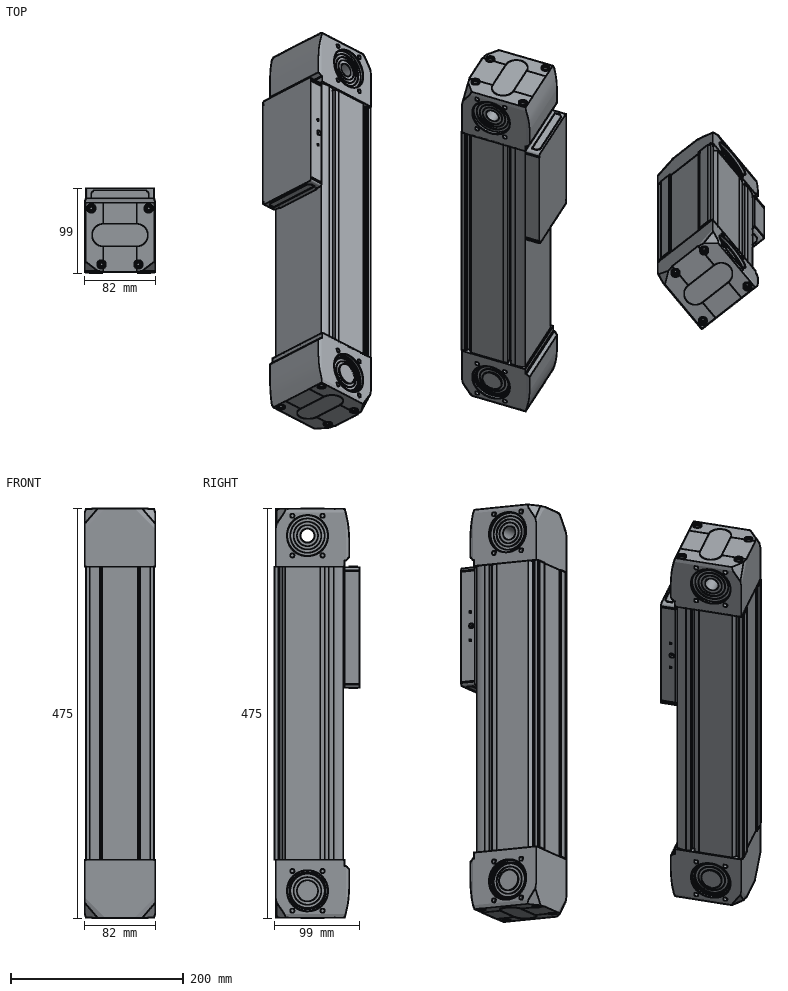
import cadquery as cq


profile_length = 340.0
profile_half_x = 39.5
profile_half_y = 40.0
back_round_radius = 30.0
back_round_start_y = 28.7

recess_half_width = 7.8
recess_center_y = 20.9
recess_depth = 0.4
slot_half_width = 2.1
slot_depth = 6.0

notch_back_y = -27.2
notch_back_floor_y = -31.0
notch_front_floor_y = -33.6
notch_lip_y = -35.2
notch_lip_x = profile_half_x - 1.5
notch_floor_x = profile_half_x - 4.0

lip_step_x = 34.9
lip_step = 0.5
front_groove_outer_x = 23.4
front_groove_inner_x = 22.0
lip_inner_x = 20.8
front_panel_recess = 1.6

head_half_x = 41.0
head_front_y = -38.4
head_back_y = 41.7
head_inner_z = profile_length / 2
head_end_z = 237.0
bevel_x = 1.4
bevel_z = 4.4
cover_edge_y = head_back_y + 1.4
cover_y = 47.0
cover_side_inset = 1.2
cover_slope_y = 45.3
cover_slope_z = 222.0
cover_flat_top_z = 201.0
cover_flat_bottom_z = 181.0
cover_foot_z = 177.0

corner_cut_legs = (17.0, 13.0, 19.0)
corner_blend_legs = (23.7, 4.3, 23.7)

pad_height = 0.5
pad_half_length = 32.4
pad_width = 26.2
pad_center_y = 4.4
strip_half_x = 19.3
strip_height = 0.2
back_screw = (33.2, 35.4)
front_screw = (21.4, -29.6)
screw_recess_diameter = 10.0
screw_recess_depth = 1.0
screw_seat_diameter = 8.5
screw_seat_depth = 2.0
screw_hole_diameter = 6.0
screw_hole_depth = 6.0
screw_socket_diameter = 4.0
screw_socket_depth = 8.0

axle_y = -1.5
axle_z = 206.0
seat_rim_diameter = 48.0
seat_rim_depth = 0.4
seat_diameter = 47.0
seat_depth = 4.0
bearing_ring_diameter = 39.83
bearing_bore_diameter = 32.17
bearing_gap_depth = 5.0
cap_ring_diameter = 42.7
cap_ring_depth = 4.5
hub_diameter = 24.5
hub_recess_depth = 4.5
hub_boss_depth = 2.5
axle_hole_diameter = 16.0
side_hole_diameter = 4.92
side_hole_depth = 8.0
side_hole_offset_y = 17.5
side_hole_offset_z = 23.0

carriage_half_x = 39.5
carriage_bottom_y = 41.5
carriage_top_y = 59.0
carriage_length = 140.0
carriage_center_z = 99.5
carriage_corner_radius = 3.0
foot_half_x = 30.0
seam_offset = 3.4
seam_width = 1.3
seam_depth = 0.6
plate_half_x = 33.4
plate_bottom_y = 47.0
plate_top_y = 56.2
plate_chamfer = 3.0
plate_thickness = 0.8
pin_hole_diameter = 2.46
pin_hole_depth = 5.0
pin_hole_y = 47.3
pin_hole_spacing = 33.6
port_diameter = 6.0
port_throat_diameter = 2.46
port_y = 45.8
port_depth = 5.0


def block(x_range, y_range, z_range):
    """Box between the given limits on each axis."""
    size = [high - low for low, high in (x_range, y_range, z_range)]
    return cq.Workplane("XY").box(*size, centered=False).translate((x_range[0], y_range[0], z_range[0]))


def make_profile():
    """Extruded profile; the right half of the section is drawn, then mirrored."""
    recess_back_y = recess_center_y + recess_half_width
    recess_front_y = recess_center_y - recess_half_width
    rise = profile_half_y - back_round_start_y
    back_x = profile_half_x - back_round_radius + (back_round_radius**2 - rise**2) ** 0.5
    mid_rise = rise / 2
    mid_x = profile_half_x - back_round_radius + (back_round_radius**2 - mid_rise**2) ** 0.5
    front_y = -profile_half_y
    recess_x = profile_half_x - recess_depth
    slot_x = profile_half_x - slot_depth

    half = (
        cq.Workplane("XY", origin=(0, 0, -profile_length / 2))
        .moveTo(0, profile_half_y)
        .lineTo(back_x, profile_half_y)
        .threePointArc((mid_x, back_round_start_y + mid_rise), (profile_half_x, back_round_start_y))
        .lineTo(recess_x, recess_back_y)
        .lineTo(recess_x, recess_center_y + slot_half_width)
        .lineTo(slot_x, recess_center_y + slot_half_width)
        .lineTo(slot_x, recess_center_y - slot_half_width)
        .lineTo(recess_x, recess_center_y - slot_half_width)
        .lineTo(recess_x, recess_front_y)
        .lineTo(profile_half_x, recess_front_y)
        .lineTo(profile_half_x, notch_back_y)
        .lineTo(notch_floor_x, notch_back_floor_y)
        .lineTo(notch_floor_x, notch_front_floor_y)
        .lineTo(notch_lip_x, notch_front_floor_y)
        .lineTo(notch_lip_x, notch_lip_y)
        .lineTo(profile_half_x, notch_lip_y)
        .lineTo(profile_half_x, front_y + lip_step)
        .lineTo(lip_step_x, front_y + lip_step)
        .lineTo(lip_step_x, front_y)
        .lineTo(front_groove_outer_x, front_y)
        .lineTo(front_groove_outer_x, front_y + front_panel_recess)
        .lineTo(front_groove_inner_x, front_y + front_panel_recess)
        .lineTo(front_groove_inner_x, front_y)
        .lineTo(lip_inner_x, front_y)
        .lineTo(lip_inner_x, front_y + front_panel_recess)
        .lineTo(0, front_y + front_panel_recess)
        .close()
        .extrude(profile_length)
    )
    return half.union(half.mirror("YZ"))


def corner_wedge(side, legs):
    """Tetrahedron at a front end corner of the head, with the given leg along each axis."""
    leg_x, leg_y, leg_z = legs
    corner = cq.Vector(side * head_half_x, head_front_y, head_end_z)
    points = [
        corner,
        corner + cq.Vector(-side * leg_x, 0, 0),
        corner + cq.Vector(0, leg_y, 0),
        corner + cq.Vector(0, 0, -leg_z),
    ]
    faces = []
    for skipped in points:
        triangle = [point for point in points if point is not skipped]
        faces.append(cq.Face.makeFromWires(cq.Wire.makePolygon(triangle, close=True)))
    return cq.Workplane(cq.Solid.makeSolid(cq.Shell.makeShell(faces)))


def make_head_block():
    """Head body: side outline, end bevels and cover taper intersected."""
    side_outline = (
        cq.Workplane("YZ")
        .moveTo(head_front_y, head_inner_z)
        .lineTo(head_front_y, head_end_z)
        .lineTo(head_back_y, head_end_z)
        .threePointArc((cover_slope_y, cover_slope_z), (cover_y, cover_flat_top_z))
        .lineTo(cover_y, cover_flat_bottom_z)
        .lineTo(cover_edge_y, cover_foot_z)
        .lineTo(head_back_y, cover_foot_z)
        .lineTo(head_back_y, head_inner_z)
        .close()
    )
    front_outline = [
        (-head_half_x, head_inner_z),
        (head_half_x, head_inner_z),
        (head_half_x, head_end_z - bevel_z),
        (head_half_x - bevel_x, head_end_z),
        (-head_half_x + bevel_x, head_end_z),
        (-head_half_x, head_end_z - bevel_z),
    ]
    cover_half_x = head_half_x - cover_side_inset
    end_outline = [
        (-head_half_x, head_front_y),
        (head_half_x, head_front_y),
        (head_half_x, cover_edge_y),
        (cover_half_x, cover_y),
        (-cover_half_x, cover_y),
        (-head_half_x, cover_edge_y),
    ]
    body = side_outline.extrude(head_half_x, both=True)
    bevelled = cq.Workplane("XZ").polyline(front_outline).close().extrude(2 * cover_y, both=True)
    tapered = cq.Workplane("XY").polyline(end_outline).close().extrude(head_end_z)
    body = body.intersect(bevelled).intersect(tapered)
    for side in (-1, 1):
        for legs in (corner_cut_legs, corner_blend_legs):
            body = body.cut(corner_wedge(side, legs))
    return body


def add_end_face(head):
    """Raised strip and pad on the end face, and its four stepped screw holes."""
    strip = block(
        (-strip_half_x, strip_half_x),
        (head_front_y, head_back_y),
        (head_end_z, head_end_z + strip_height),
    )
    end_plane = cq.Workplane("XY", origin=(0, 0, head_end_z))
    pad = end_plane.center(0, pad_center_y).slot2D(2 * pad_half_length, pad_width).extrude(pad_height)
    head = head.union(strip).union(pad)

    screws = [(side * x, y) for side in (-1, 1) for x, y in (back_screw, front_screw)]
    steps = (
        (screw_recess_diameter, screw_recess_depth),
        (screw_seat_diameter, screw_seat_depth),
        (screw_hole_diameter, screw_hole_depth),
        (screw_socket_diameter, screw_socket_depth),
    )
    for diameter, depth in steps:
        drill = cq.Workplane("XY", origin=(0, 0, head_end_z - depth))
        head = head.cut(drill.pushPoints(screws).circle(diameter / 2).extrude(depth + pad_height))
    return head


def side_bore(side, diameter, depth, inner_diameter=0.0):
    """Round or ring-shaped tool sunk into one side of the head on the axle line."""
    tool = cq.Workplane("YZ", origin=(side * head_half_x, axle_y, axle_z)).circle(diameter / 2)
    if inner_diameter:
        tool = tool.circle(inner_diameter / 2)
    return tool.extrude(-side * depth)


def cut_bearing_seat(head, side):
    """Stepped bearing seat and the four fixing holes around it."""
    head = head.cut(side_bore(side, seat_rim_diameter, seat_rim_depth))
    head = head.cut(side_bore(side, seat_diameter, seat_depth))
    head = head.cut(side_bore(side, bearing_ring_diameter, bearing_gap_depth, bearing_bore_diameter))
    return head.cut(
        cq.Workplane("YZ", origin=(side * head_half_x, axle_y, axle_z))
        .rect(2 * side_hole_offset_y, 2 * side_hole_offset_z, forConstruction=True)
        .vertices()
        .circle(side_hole_diameter / 2)
        .extrude(-side * side_hole_depth)
    )


def make_head():
    """Head at the +Z end, with bearing seats on both sides."""
    head = add_end_face(make_head_block())
    for side in (-1, 1):
        head = cut_bearing_seat(head, side)
    return head


def make_drive_head():
    """Head at the +Z end, with sunk hubs and the axle hole right through."""
    head = make_head()
    for side in (-1, 1):
        head = head.cut(side_bore(side, hub_diameter, hub_recess_depth))
    return head.cut(side_bore(1, axle_hole_diameter, 2 * head_half_x))


def make_idler_head():
    """Head at the -Z end, with a ring step and a closed hub in each seat."""
    head = make_head()
    for side in (-1, 1):
        head = head.cut(side_bore(side, cap_ring_diameter, cap_ring_depth, bearing_ring_diameter))
        hub = side_bore(side, hub_diameter, seat_depth)
        head = head.union(hub.cut(side_bore(side, hub_diameter, hub_boss_depth)))
    return head.mirror("XY")


def make_carriage():
    """Carriage riding on the back of the profile."""
    half_length = carriage_length / 2
    low_z = carriage_center_z - half_length
    high_z = carriage_center_z + half_length
    body = block(
        (-carriage_half_x, carriage_half_x), (carriage_bottom_y, carriage_top_y), (low_z, high_z)
    )
    body = body.edges("|Y").fillet(carriage_corner_radius)

    for side in (-1, 1):
        side_x = sorted((side * carriage_half_x, side * (carriage_half_x - seam_depth)))
        for end in (-1, 1):
            outer_z = carriage_center_z + end * (half_length - seam_offset)
            seam_z = sorted((outer_z, outer_z - end * seam_width))
            body = body.cut(block(side_x, (carriage_bottom_y, carriage_top_y), seam_z))

    foot = block((-foot_half_x, foot_half_x), (profile_half_y, carriage_bottom_y), (low_z, high_z))
    body = body.union(foot)

    plates = block(
        (-plate_half_x, plate_half_x),
        (plate_bottom_y, plate_top_y),
        (low_z - plate_thickness, high_z + plate_thickness),
    )
    body = body.union(plates.edges("|Z and >Y").chamfer(plate_chamfer))

    side_plane = cq.Workplane("YZ", origin=(-carriage_half_x, 0, carriage_center_z))
    pin_places = [(0, side * pin_hole_spacing / 2) for side in (-1, 1)]
    pins = side_plane.center(pin_hole_y, 0).pushPoints(pin_places)
    body = body.cut(pins.circle(pin_hole_diameter / 2).extrude(pin_hole_depth))
    cone_depth = (port_diameter - port_throat_diameter) / 2
    port = cq.Solid.makeCone(
        port_diameter / 2,
        port_throat_diameter / 2,
        cone_depth,
        cq.Vector(-carriage_half_x, port_y, carriage_center_z),
        cq.Vector(1, 0, 0),
    )
    throat = side_plane.center(port_y, 0).circle(port_throat_diameter / 2).extrude(port_depth)
    return body.cut(cq.Workplane(port)).cut(throat)


profile = make_profile()
drive_head = make_drive_head()
idler_head = make_idler_head()
carriage = make_carriage()

result = cq.Compound.makeCompound(
    [profile.val(), drive_head.val(), idler_head.val(), carriage.val()]
)